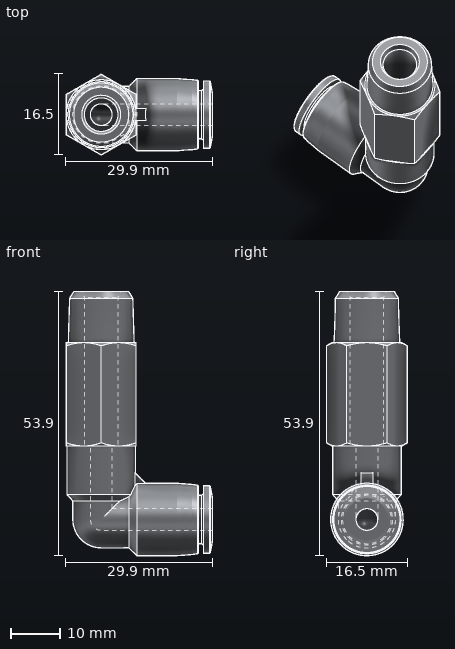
import cadquery as cq
import math


body_radius = 7.0
body_bottom = 5.05
neck_top = 3.75
hex_across_flats = 14.3
hex_bottom = 15.0
hex_top = 36.05
hex_turn = 30
hex_chamfer_angle = 30
thread_root_radius = 6.75
thread_end_radius = 6.45
thread_tip_radius = 5.6
thread_tip_height = 1.4
total_height = 53.9

elbow_radius = 5.8
outlet_diameter = 14.8
outlet_cone_start = 5.65
outlet_cone_end = 7.3
sleeve_start = 15.45
sleeve_band_start = 18.6
sleeve_band_radius = 7.15
sleeve_end = 19.85
sleeve_edge_chamfer = 0.15
sleeve_end_radius = 7.0
collar_neck_radius = 4.95
collar_flare_start = 20.5
collar_flare_radius = 5.25
collar_start = 20.8
collar_radius = 6.9
collar_bevel = 0.15
collar_rim = 22.25
collar_end_radius = 4.3
total_length = 29.85

web_width = 2.5
web_reach = 16.45

passage_radius = 2.2
thread_bore_diameter = 6.85
countersink_diameter = 7.9
countersink_depth = 1.2

outlet_radius = outlet_diameter / 2
thread_bore_radius = thread_bore_diameter / 2
countersink_radius = countersink_diameter / 2
outlet_end = total_length - hex_across_flats / 2
thread_top = total_height - outlet_radius


def revolve_about_z(points):
    """Solid of revolution from (radius, height) points."""
    profile = cq.Workplane("XZ").polyline(points).close()
    return profile.revolve(360, (0, 0, 0), (0, 1, 0))


def revolve_about_x(points):
    """Solid of revolution from (position, radius) points."""
    profile = cq.Workplane("XZ").polyline(points).close()
    return profile.revolve(360, (0, 0, 0), (1, 0, 0))


def make_run():
    return revolve_about_z([
        (0, 0),
        (elbow_radius, 0),
        (elbow_radius, neck_top),
        (body_radius, body_bottom),
        (body_radius, hex_top),
        (thread_root_radius, hex_top),
        (thread_end_radius, thread_top - thread_tip_height),
        (thread_tip_radius, thread_top),
        (0, thread_top),
    ])


def make_hexagon():
    """Hexagon with corners on Y and both ends chamfered by cones."""
    corner_radius = hex_across_flats / math.sqrt(3)
    prism = (
        cq.Workplane("XY", origin=(0, 0, hex_bottom))
        .polygon(6, 2 * corner_radius)
        .extrude(hex_top - hex_bottom)
        .rotate((0, 0, 0), (0, 0, 1), hex_turn)
    )
    flat_radius = hex_across_flats / 2
    corner_drop = (corner_radius - flat_radius) * math.tan(math.radians(hex_chamfer_angle))
    chamfer_envelope = revolve_about_z([
        (0, hex_bottom),
        (flat_radius, hex_bottom),
        (corner_radius, hex_bottom + corner_drop),
        (corner_radius, hex_top - corner_drop),
        (flat_radius, hex_top),
        (0, hex_top),
    ])
    return prism.intersect(chamfer_envelope)


def make_outlet():
    return revolve_about_x([
        (0, 0),
        (0, elbow_radius),
        (outlet_cone_start, elbow_radius),
        (outlet_cone_end, outlet_radius),
        (sleeve_start, outlet_radius),
        (sleeve_band_start, sleeve_band_radius),
        (sleeve_end - sleeve_edge_chamfer, sleeve_end_radius),
        (sleeve_end, sleeve_end_radius - sleeve_edge_chamfer),
        (sleeve_end, collar_neck_radius),
        (collar_flare_start, collar_neck_radius),
        (collar_start, collar_flare_radius),
        (collar_start, collar_radius),
        (collar_rim - collar_bevel, collar_radius),
        (collar_rim, collar_radius - collar_bevel),
        (outlet_end, collar_end_radius),
        (outlet_end, 0),
    ])


def make_web():
    """Triangular web whose sloping edge bridges the body and the outlet."""
    return (
        cq.Workplane("XZ")
        .polyline([(0, 0), (web_reach, 0), (0, web_reach)])
        .close()
        .extrude(web_width / 2, both=True)
    )


def make_passages():
    """Round-cornered elbow passage, wider and countersunk at the threaded end."""
    vertical = revolve_about_z([
        (0, 0),
        (passage_radius, 0),
        (passage_radius, hex_bottom),
        (thread_bore_radius, hex_bottom),
        (thread_bore_radius, thread_top - countersink_depth),
        (countersink_radius, thread_top),
        (0, thread_top),
    ])
    horizontal = cq.Workplane("YZ").circle(passage_radius).extrude(outlet_end)
    corner = cq.Workplane("XY").sphere(passage_radius)
    return vertical.union(horizontal).union(corner)


elbow_corner = cq.Workplane("XY").sphere(elbow_radius)
outside = make_run().union(make_hexagon()).union(make_outlet()).union(elbow_corner).union(make_web())
result = outside.cut(make_passages())